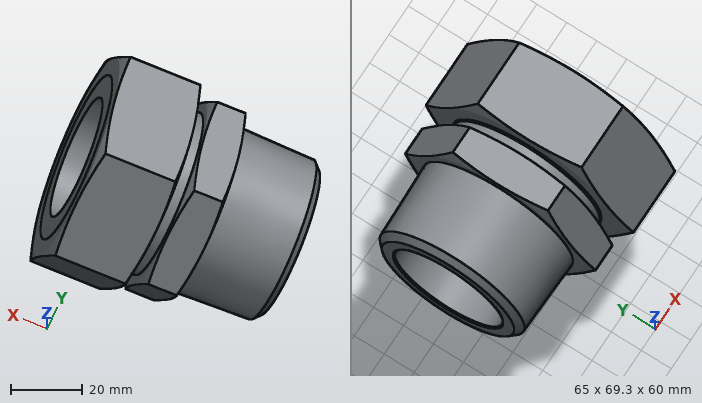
import cadquery as cq
import math

pipe_chamfer = 2.1
pipe_end = 26.0
collar_end = 37.0
neck_end = 40.5
nut_start = 41.0
nut_end = 65.0

pipe_end_radius = 24.95
pipe_taper = 1 / 32
pipe_start_radius = pipe_end_radius - pipe_taper * (pipe_end - pipe_chamfer)
neck_radius = 24.5
neck_cone_angle = 30
spigot_radius = neck_radius + (nut_start - neck_end) * math.tan(math.radians(neck_cone_angle))
bore_radius = 18.0
bore_chamfer = 0.4

flats_to_corners = math.cos(math.radians(30))
nut_across_corners = 69.3
collar_across_flats = 55.0
collar_across_corners = collar_across_flats / flats_to_corners
hex_chamfer_angle = 15


def revolve_about_x(outline):
    """Solid of revolution about X from (x, radius) points."""
    return cq.Workplane("XY").polyline(outline).close().revolve(360, (0, 0, 0), (1, 0, 0))


def chamfered_hexagon(start, end, across_corners):
    """Hexagonal prism along X whose corners are turned off conically at both ends."""
    prism = cq.Workplane("YZ", origin=(start, 0, 0)).polygon(6, across_corners).extrude(end - start)
    corner_radius = across_corners / 2
    flat_radius = corner_radius * flats_to_corners
    chamfer_length = (corner_radius - flat_radius) * math.tan(math.radians(hex_chamfer_angle))
    turned_blank = revolve_about_x([
        (start, 0),
        (start, flat_radius),
        (start + chamfer_length, corner_radius),
        (end - chamfer_length, corner_radius),
        (end, flat_radius),
        (end, 0),
    ])
    return prism.intersect(turned_blank)


def make_fitting():
    """Hollow fitting: tapered pipe end, hexagonal collar, neck and the spigot inside the nut."""
    turned_body = revolve_about_x([
        (0, 0),
        (0, pipe_start_radius - pipe_chamfer),
        (pipe_chamfer, pipe_start_radius),
        (pipe_end, pipe_end_radius),
        (pipe_end, neck_radius),
        (neck_end, neck_radius),
        (nut_start, spigot_radius),
        (nut_end, spigot_radius),
        (nut_end, 0),
    ])
    collar = chamfered_hexagon(pipe_end, collar_end, collar_across_corners)
    bore = revolve_about_x([
        (0, 0),
        (0, bore_radius + bore_chamfer),
        (bore_chamfer, bore_radius),
        (nut_end, bore_radius),
        (nut_end, 0),
    ])
    return turned_body.union(collar).cut(bore)


def make_nut():
    """Hexagonal nut with a plain through hole that fits the spigot."""
    hexagon = chamfered_hexagon(nut_start, nut_end, nut_across_corners)
    hole = cq.Workplane("YZ", origin=(nut_start, 0, 0)).circle(spigot_radius).extrude(nut_end - nut_start)
    return hexagon.cut(hole)


fitting = make_fitting()
nut = make_nut()

result = cq.Compound.makeCompound([fitting.val(), nut.val()])